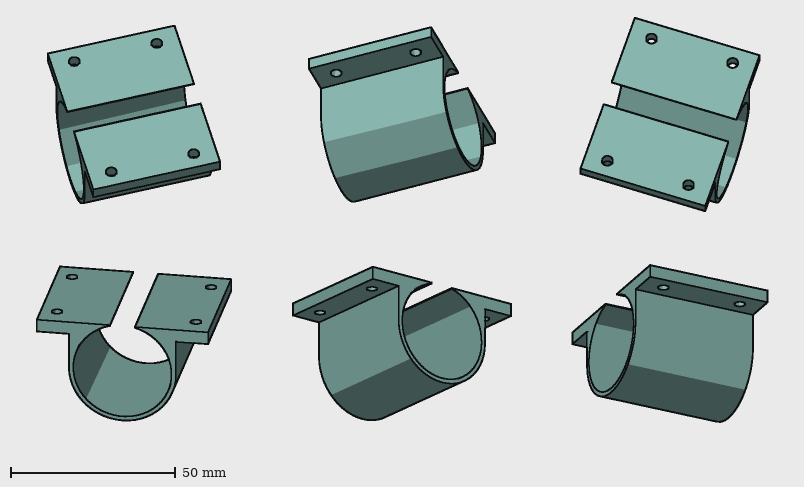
import cadquery as cq

width = 53.0
length = 40.0
height = 31.6

outer_radius = 16.6
inner_radius = 15.2
top_z = height - outer_radius
slot_width = 7.7

flange_thickness = 4.0
hole_diameter = 3.3
hole_spacing_x = 43.0
hole_spacing_y = 26.0


def along_y(sketch):
    """Extrude an XZ profile over the full length, centred on Y = 0."""
    return sketch.extrude(length / 2, both=True)


flange_bottom_z = top_z - flange_thickness
body = along_y(
    cq.Workplane("XZ")
    .moveTo(-width / 2, top_z)
    .lineTo(width / 2, top_z)
    .lineTo(width / 2, flange_bottom_z)
    .lineTo(outer_radius, flange_bottom_z)
    .lineTo(outer_radius, 0)
    .threePointArc((0, -outer_radius), (-outer_radius, 0))
    .lineTo(-outer_radius, flange_bottom_z)
    .lineTo(-width / 2, flange_bottom_z)
    .close()
)

bore = along_y(cq.Workplane("XZ").circle(inner_radius))
slot = along_y(cq.Workplane("XZ").center(0, top_z / 2).rect(slot_width, top_z))

screw_holes = (
    cq.Workplane("XY", origin=(0, 0, flange_bottom_z))
    .rect(hole_spacing_x, hole_spacing_y, forConstruction=True)
    .vertices()
    .circle(hole_diameter / 2)
    .extrude(flange_thickness)
)

result = body.cut(bore).cut(slot).cut(screw_holes)